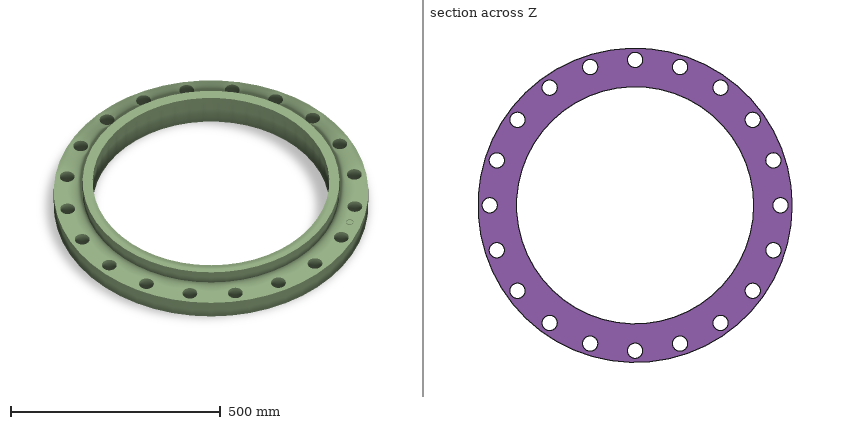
import cadquery as cq

flange_diameter = 749.0
flange_thickness = 46.0
overall_height = 79.5
hub_diameter = 611.0
bore_diameter = 563.0

bolt_circle_diameter = 692.0
bolt_count = 20
bolt_hole_diameter = 35.0

mark_angle = 180 / bolt_count
mark_outer_diameter = 19.0
mark_inner_diameter = 15.0
mark_depth = 1.5


def make_ring_body():
    """Flange plate with the hub on top and one straight bore through both."""
    plate = cq.Workplane("XY").circle(flange_diameter / 2).extrude(flange_thickness)
    hub = cq.Workplane("XY").circle(hub_diameter / 2).extrude(overall_height)
    bore = cq.Workplane("XY").circle(bore_diameter / 2).extrude(overall_height)
    return plate.union(hub).cut(bore)


def make_bolt_holes():
    """Cutters for the evenly spaced bolt holes, the first one on +X."""
    return (
        cq.Workplane("XY")
        .polarArray(bolt_circle_diameter / 2, 0, 360, bolt_count)
        .circle(bolt_hole_diameter / 2)
        .extrude(flange_thickness)
    )


def make_ring_mark():
    """Cutter for the shallow ring groove in the top face of the plate."""
    return (
        cq.Workplane("XY", origin=(0, 0, flange_thickness))
        .polarArray(bolt_circle_diameter / 2, mark_angle, 360, 1)
        .circle(mark_outer_diameter / 2)
        .extrude(-mark_depth)
        .cut(
            cq.Workplane("XY", origin=(0, 0, flange_thickness))
            .polarArray(bolt_circle_diameter / 2, mark_angle, 360, 1)
            .circle(mark_inner_diameter / 2)
            .extrude(-mark_depth)
        )
    )


result = make_ring_body().cut(make_bolt_holes()).cut(make_ring_mark())